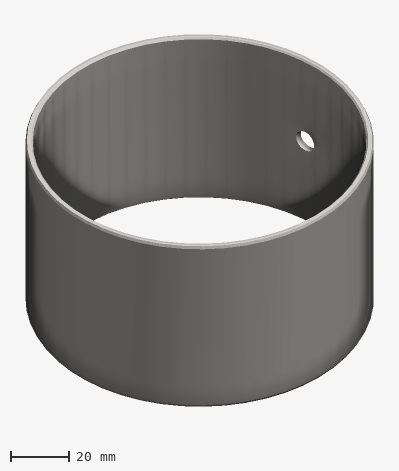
import cadquery as cq

outer_diameter = 120.0
wall = 2.5
height = 70.0
outer_chamfer_width = 0.5
outer_chamfer_height = 1.0
inner_chamfer = 0.6

hole_diameter = 7.9
hole_height = height / 2

outer_radius = outer_diameter / 2
inner_radius = outer_radius - wall


def make_sleeve():
    """Revolve the wall section, with all four rim edges chamfered."""
    section = (
        cq.Workplane("XZ")
        .moveTo(inner_radius + inner_chamfer, 0)
        .lineTo(outer_radius - outer_chamfer_width, 0)
        .lineTo(outer_radius, outer_chamfer_height)
        .lineTo(outer_radius, height - outer_chamfer_height)
        .lineTo(outer_radius - outer_chamfer_width, height)
        .lineTo(inner_radius + inner_chamfer, height)
        .lineTo(inner_radius, height - inner_chamfer)
        .lineTo(inner_radius, inner_chamfer)
        .close()
    )
    return section.revolve(360, (0, 0, 0), (0, 1, 0))


def make_hole_cutter():
    """Cylinder running from the axis out through the +Y wall only."""
    return (
        cq.Workplane("XZ")
        .center(0, hole_height)
        .circle(hole_diameter / 2)
        .extrude(-outer_diameter)
    )


result = make_sleeve().cut(make_hole_cutter())